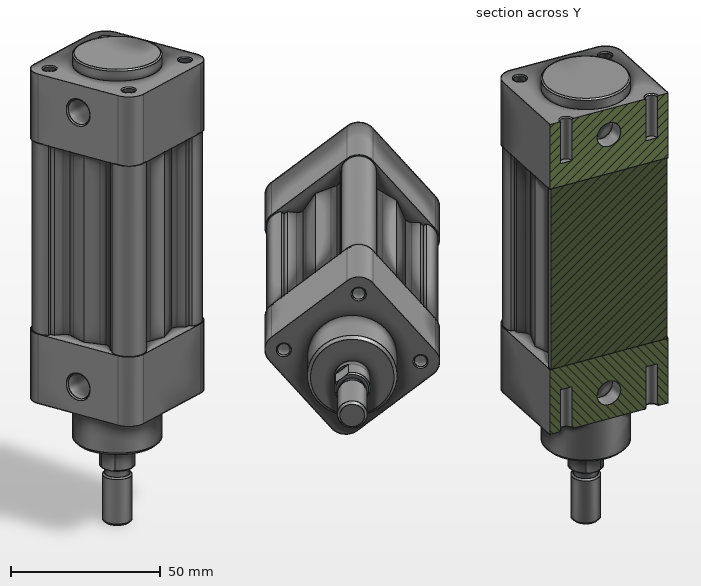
import cadquery as cq
import math


thread_top = 17.4
shoulder_bottom = 20.1
wrench_top = 27.0
collar_bottom = 29.5
lower_head_bottom = 46.0
head_height = 25.0
total_height = 169.0
cap_height = 4.0
upper_head_top = total_height - cap_height
barrel_bottom = lower_head_bottom + head_height
barrel_top = upper_head_top - head_height

head_width = 45.0
head_corner_radius = 6.0
collar_diameter = 29.9
collar_chamfer = 1.0
cap_chamfer = 0.5
port_inset = 10.0
port_diameter = 8.8
port_depth = 12.0
port_chamfer = 0.5
screw_spacing = 32.5
screw_diameter = 4.2
screw_depth = 16.0
screw_chamfer = 0.42

post_offset = 16.0
post_radius = head_corner_radius
ledge_outer_x = 13.0
ledge_inner_x = 11.5
wall_foot_x = 9.5
groove_floor_x = 7.5
rib_shoulder_x = 5.4
rib_peak_height = 19.3
rib_shoulder_height = 17.5
groove_floor_height = 16.9
wall_angle = 48.0

rod_diameter = 12.0
wrench_flats = 10.6
undercut_diameter = 8.5
thread_diameter = 10.0
rod_chamfer = 0.5
thread_chamfer = 0.8


def rounded_block(bottom):
    """Square head block with rounded upright corners."""
    return (
        cq.Workplane("XY", origin=(0, 0, bottom))
        .rect(head_width, head_width)
        .extrude(head_height)
        .edges("|Z")
        .fillet(head_corner_radius)
    )


def chamfered_hole(face_plane, diameter, depth, chamfer):
    """Cutter for a blind hole with a chamfered mouth; the plane's normal points into the material."""
    bore = cq.Workplane(face_plane).circle(diameter / 2).extrude(depth)
    mouth = (
        cq.Workplane(face_plane)
        .circle(diameter / 2 + chamfer)
        .workplane(offset=chamfer)
        .circle(diameter / 2)
        .loft()
    )
    return bore.union(mouth)


def drill_head(head, outer_face, inward):
    """Cut the air port and the four screw holes; inward is +1 or -1 along Z, from the outer face."""
    port_plane = cq.Plane(
        origin=(0, -head_width / 2, outer_face + inward * port_inset), xDir=(1, 0, 0), normal=(0, 1, 0)
    )
    head = head.cut(chamfered_hole(port_plane, port_diameter, port_depth, port_chamfer))
    for side_x in (-1, 1):
        for side_y in (-1, 1):
            screw_plane = cq.Plane(
                origin=(side_x * screw_spacing / 2, side_y * screw_spacing / 2, outer_face),
                xDir=(1, 0, 0),
                normal=(0, 0, inward),
            )
            head = head.cut(chamfered_hole(screw_plane, screw_diameter, screw_depth, screw_chamfer))
    return head


def make_upper_head():
    cap = (
        cq.Workplane("XY", origin=(0, 0, upper_head_top))
        .circle(collar_diameter / 2)
        .extrude(cap_height)
        .faces(">Z")
        .chamfer(cap_chamfer)
    )
    return drill_head(rounded_block(barrel_top).union(cap), upper_head_top, -1)


def make_lower_head():
    collar = (
        cq.Workplane("XY", origin=(0, 0, collar_bottom))
        .circle(collar_diameter / 2)
        .extrude(lower_head_bottom - collar_bottom)
        .faces("<Z")
        .chamfer(collar_chamfer)
    )
    return drill_head(rounded_block(lower_head_bottom).union(collar), lower_head_bottom, 1)


def side_points():
    """Named corners of the right half of one barrel side, as (across, height from the axis)."""
    angle = math.radians(wall_angle)
    fillet_radius = (wall_foot_x - groove_floor_x) / math.sin(angle)
    wall_foot_height = groove_floor_height + fillet_radius * (1 - math.cos(angle))
    fillet_middle = (
        groove_floor_x + fillet_radius * math.sin(angle / 2),
        groove_floor_height + fillet_radius * (1 - math.cos(angle / 2)),
    )
    ledge_height = wall_foot_height + (ledge_inner_x - wall_foot_x) * math.tan(angle)
    post_edge_height = post_offset + math.sqrt(post_radius**2 - (post_offset - ledge_outer_x) ** 2)
    return {
        "peak": (0, rib_peak_height),
        "rib shoulder": (rib_shoulder_x, rib_shoulder_height),
        "floor": (groove_floor_x, groove_floor_height),
        "fillet middle": fillet_middle,
        "wall foot": (wall_foot_x, wall_foot_height),
        "ledge inner": (ledge_inner_x, ledge_height),
        "ledge outer": (ledge_outer_x, ledge_height),
        "post edge": (ledge_outer_x, post_edge_height),
    }


def make_barrel():
    right = side_points()
    left = {name: (-across, height) for name, (across, height) in right.items()}
    post_reach = post_offset + post_radius / math.sqrt(2)

    def turned(point, quarter):
        x, y = point
        for _ in range(quarter):
            x, y = y, -x
        return (x, y)

    outline = cq.Workplane("XY", origin=(0, 0, barrel_bottom)).moveTo(*left["post edge"])
    for quarter in range(4):
        outline = (
            outline.lineTo(*turned(left["ledge outer"], quarter))
            .lineTo(*turned(left["ledge inner"], quarter))
            .lineTo(*turned(left["wall foot"], quarter))
            .threePointArc(turned(left["fillet middle"], quarter), turned(left["floor"], quarter))
            .lineTo(*turned(left["rib shoulder"], quarter))
            .lineTo(*turned(right["peak"], quarter))
            .lineTo(*turned(right["rib shoulder"], quarter))
            .lineTo(*turned(right["floor"], quarter))
            .threePointArc(turned(right["fillet middle"], quarter), turned(right["wall foot"], quarter))
            .lineTo(*turned(right["ledge inner"], quarter))
            .lineTo(*turned(right["ledge outer"], quarter))
            .lineTo(*turned(right["post edge"], quarter))
            .threePointArc(turned((post_reach, post_reach), quarter), turned(left["post edge"], quarter + 1))
        )
    return outline.close().extrude(barrel_top - barrel_bottom)


def make_rod():
    """Turned rod end: thread, undercut and shoulder, with two wrench flats facing -Y and +Y.

    Faces are left unmerged, so that an edge runs around the rod where the wrench flats end.
    """
    thread_radius = thread_diameter / 2
    undercut_radius = undercut_diameter / 2
    rod_radius = rod_diameter / 2
    rod = (
        cq.Workplane("XZ")
        .polyline(
            [
                (0, 0),
                (thread_radius - thread_chamfer, 0),
                (thread_radius, thread_chamfer),
                (thread_radius, thread_top - rod_chamfer),
                (undercut_radius, thread_top),
                (undercut_radius, shoulder_bottom),
                (rod_radius - rod_chamfer, shoulder_bottom),
                (rod_radius, shoulder_bottom + rod_chamfer),
                (rod_radius, wrench_top),
                (rod_radius, collar_bottom),
                (0, collar_bottom),
            ]
        )
        .close()
        .revolve(360, (0, 0, 0), (0, 1, 0), clean=False)
    )
    for side in (-1, 1):
        flat_cut = (
            cq.Workplane("XY", origin=(0, side * (wrench_flats + rod_diameter) / 2, shoulder_bottom))
            .rect(rod_diameter, rod_diameter)
            .extrude(wrench_top - shoulder_bottom)
        )
        rod = rod.cut(flat_cut, clean=False)
    return rod


upper_head = make_upper_head()
lower_head = make_lower_head()
barrel = make_barrel()
rod = make_rod()

result = cq.Compound.makeCompound([upper_head.val(), lower_head.val(), barrel.val(), rod.val()])